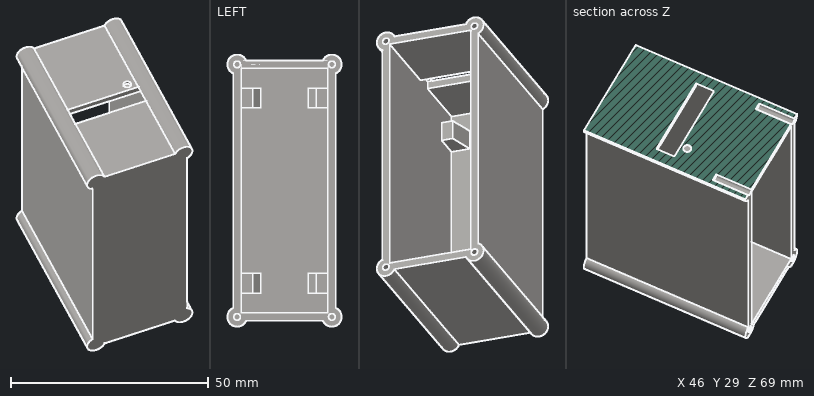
import cadquery as cq

length = 46.0
body_width = 26.0
body_height = 66.0
wall = 2.0
cavity_width = body_width - 2 * wall
cavity_height = body_height - 2 * wall
front_x = -length / 2
back_inner_x = length / 2 - wall

rod_diameter = 5.0
rod_y = (body_width - wall) / 2
rod_z = (body_height - wall) / 2
screw_diameter = 1.7
screw_depth = 10.0

slot_start_x = -1.0
slot_width = 5.0
pin_diameter = 2.0
pin_depth = 1.0
pin_x = -2.85
pin_y = 7.45

post_height = 5.0
post_length = 7.0
post_front_width = 3.0
post_back_width = 5.0
post_z = 23.5


def corner_cylinders(diameter, depth):
    """Four cylinders along the rod axes, starting at the open face."""
    return (
        cq.Workplane("YZ", origin=(front_x, 0, 0))
        .rect(2 * rod_y, 2 * rod_z, forConstruction=True)
        .vertices()
        .circle(diameter / 2)
        .extrude(depth)
    )


def make_cavity():
    """Cutter for the rectangular cavity, open at -X."""
    return (
        cq.Workplane("YZ", origin=(front_x, 0, 0))
        .rect(cavity_width, cavity_height)
        .extrude(length - wall)
    )


def make_top_slot():
    """Cutter for the slot across the full cavity width."""
    return (
        cq.Workplane("XY", origin=(slot_start_x + slot_width / 2, 0, cavity_height / 2))
        .rect(slot_width, cavity_width)
        .extrude(wall)
    )


def make_pin_hole():
    """Cutter for the shallow round hole in the top face."""
    return (
        cq.Workplane("XY", origin=(pin_x, pin_y, body_height / 2))
        .circle(pin_diameter / 2)
        .extrude(-pin_depth)
    )


def make_post(side, center_z):
    """Tapered post against one side wall; side is +1 for +Y, -1 for -Y."""
    wall_y = side * cavity_width / 2
    post_front_x = back_inner_x - post_length
    return (
        cq.Workplane("XY", origin=(0, 0, center_z - post_height / 2))
        .moveTo(back_inner_x, wall_y)
        .lineTo(post_front_x, wall_y)
        .lineTo(post_front_x, wall_y - side * post_front_width)
        .lineTo(back_inner_x, wall_y - side * post_back_width)
        .close()
        .extrude(post_height)
    )


result = cq.Workplane("XY").box(length, body_width, body_height)
result = result.union(corner_cylinders(rod_diameter, length))
result = result.cut(make_cavity())
result = result.cut(make_top_slot())
result = result.cut(make_pin_hole())
result = result.cut(corner_cylinders(screw_diameter, screw_depth))
for side in (1, -1):
    for center_z in (post_z, -post_z):
        result = result.union(make_post(side, center_z))